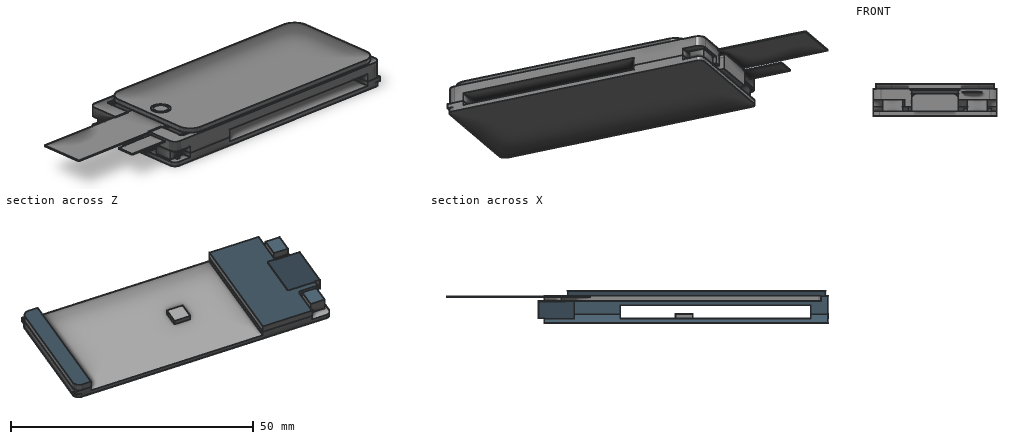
import cadquery as cq

BODY_WIDTH = 25.5
BODY_LENGTH = 58.7
OVERALL_LENGTH = 78.8
BACK_Y = OVERALL_LENGTH / 2
FRONT_Y = BACK_Y - BODY_LENGTH
LEFT_X = -BODY_WIDTH / 2
EPS = 0.8

BOARD_TOP = 0.95
PAD_TOP = 1.9
HOUSING_TOP = 5.6
GLASS_TOP = 6.6

BOARD_RADIUS = 1.25
COMPONENT_SIZE = 3.6
COMPONENT_BACK_OFFSET = 28.0
TAB_WIDTH = 0.7
TAB_DEPTH = 0.8
POST_WIDTH = 4.1
POST_DEPTH = 3.3
POST_SIDE_INSET = 2.0
POST_FRONT_INSET = 0.55
POST_X = BODY_WIDTH / 2 - POST_SIDE_INSET - POST_WIDTH / 2
PEG_SIZE = 0.7
PEG_HEIGHT = 0.55
PEG_SPACING = 5.0

HOUSING_RADIUS = 1.6
WINDOW_TOP = 3.6
BACK_WALL = 3.6
WINDOW_LENGTH = 39.3
WINDOW_FRONT_Y = BACK_Y - BACK_WALL - WINDOW_LENGTH
NOTCH_TOP = 3.4
NOTCH_DEPTH = 4.4
NOTCH_WIDTH = 6.5
NOTCH_RADIUS = 0.5
NOTCH_BACK_Y = FRONT_Y + NOTCH_DEPTH

RECESS_WIDTH = 22.5
RECESS_FRONT_WALL = 3.55
RECESS_RADIUS = 0.5
RECESS_MARGIN = (BODY_WIDTH - RECESS_WIDTH) / 2
RECESS_FRONT_Y = FRONT_Y + RECESS_FRONT_WALL
RECESS_LENGTH = BODY_LENGTH - RECESS_FRONT_WALL - RECESS_MARGIN

GLASS_MARGIN = 0.55
GLASS_WIDTH = BODY_WIDTH - 2 * GLASS_MARGIN
GLASS_LENGTH = 53.3
GLASS_RADIUS = 3.15
GLASS_FRONT_Y = BACK_Y - GLASS_MARGIN - GLASS_LENGTH
RING_FRONT_OFFSET = 3.4
RING_OUTER_RADIUS = 2.05
RING_INNER_RADIUS = 1.6
RING_DEPTH = 0.1

USB_WIDTH = 9.7
USB_DEPTH = 7.3
USB_OVERHANG = 1.2
USB_TOP = 4.6
USB_RADIUS = 0.95
USB_BACK_Y = FRONT_Y - USB_OVERHANG + USB_DEPTH

CABLE_THICKNESS = 0.2
CABLE_START_Y = GLASS_FRONT_Y + 4.7
DISPLAY_CABLE_WIDTH = 10.25
DISPLAY_CABLE_BOTTOM = 5.3
DISPLAY_CABLE_END_Y = -OVERALL_LENGTH / 2
TOUCH_CABLE_WIDTH = 4.1
TOUCH_CABLE_X = 7.65
TOUCH_CABLE_BOTTOM = 4.8
TOUCH_CABLE_END_Y = -28.5
RECESS_FLOOR = USB_TOP


def block(x_start, x_end, y_start, y_end, z_start, z_end):
    """Box given by its two limits along each axis."""
    box = cq.Workplane("XY").box(x_end - x_start, y_end - y_start, z_end - z_start, centered=False)
    return box.translate((x_start, y_start, z_start))


def centred_block(width, y_start, y_end, z_start, z_end, x_centre=0.0):
    """Box of the given width, centred on x_centre."""
    return block(x_centre - width / 2, x_centre + width / 2, y_start, y_end, z_start, z_end)


def make_usb_socket():
    socket = centred_block(USB_WIDTH, FRONT_Y - USB_OVERHANG, USB_BACK_Y, BOARD_TOP, USB_TOP)
    return socket.edges("|Y and >Z").fillet(USB_RADIUS)


def make_display_cable():
    top = DISPLAY_CABLE_BOTTOM + CABLE_THICKNESS
    return centred_block(DISPLAY_CABLE_WIDTH, DISPLAY_CABLE_END_Y, CABLE_START_Y, DISPLAY_CABLE_BOTTOM, top)


def make_touch_cable():
    top = TOUCH_CABLE_BOTTOM + CABLE_THICKNESS
    return centred_block(
        TOUCH_CABLE_WIDTH, TOUCH_CABLE_END_Y, CABLE_START_Y, TOUCH_CABLE_BOTTOM, top, TOUCH_CABLE_X
    )


def make_cover_glass():
    glass = centred_block(GLASS_WIDTH, GLASS_FRONT_Y, GLASS_FRONT_Y + GLASS_LENGTH, HOUSING_TOP, GLASS_TOP)
    glass = glass.edges("|Z").fillet(GLASS_RADIUS)
    groove = (
        cq.Workplane("XY", origin=(0, GLASS_FRONT_Y + RING_FRONT_OFFSET, GLASS_TOP - RING_DEPTH))
        .circle(RING_OUTER_RADIUS)
        .circle(RING_INNER_RADIUS)
        .extrude(RING_DEPTH)
    )
    return glass.cut(groove)


def make_board(usb_socket):
    board = centred_block(BODY_WIDTH, FRONT_Y, BACK_Y, 0, BOARD_TOP).edges("|Z").fillet(BOARD_RADIUS)
    back_pad = centred_block(BODY_WIDTH, BACK_Y - BACK_WALL, BACK_Y, BOARD_TOP, PAD_TOP)
    front_pad = centred_block(BODY_WIDTH, NOTCH_BACK_Y, WINDOW_FRONT_Y, BOARD_TOP, PAD_TOP)
    tab_left_x = -USB_WIDTH / 2 - TAB_WIDTH
    tab = block(tab_left_x, -USB_WIDTH / 2, NOTCH_BACK_Y - TAB_DEPTH, NOTCH_BACK_Y, BOARD_TOP, PAD_TOP)
    board = board.union(back_pad).union(front_pad.union(tab).cut(usb_socket))
    component_back_y = BACK_Y - COMPONENT_BACK_OFFSET
    component = centred_block(
        COMPONENT_SIZE, component_back_y - COMPONENT_SIZE, component_back_y, BOARD_TOP, PAD_TOP
    )
    board = board.union(component)
    post_front_y = FRONT_Y + POST_FRONT_INSET
    for side in (-1, 1):
        post = centred_block(
            POST_WIDTH, post_front_y, post_front_y + POST_DEPTH, BOARD_TOP, NOTCH_TOP, side * POST_X
        )
        board = board.union(post)
    peg_front_y = post_front_y + (POST_DEPTH - PEG_SIZE) / 2
    for side in (-1, 1):
        peg_x = POST_X + side * PEG_SPACING / 2
        peg = centred_block(
            PEG_SIZE, peg_front_y, peg_front_y + PEG_SIZE, BOARD_TOP, BOARD_TOP + PEG_HEIGHT, peg_x
        )
        board = board.union(peg)
    return board


def make_housing(usb_socket, cables):
    housing = centred_block(BODY_WIDTH, FRONT_Y, BACK_Y, PAD_TOP, HOUSING_TOP)
    housing = housing.edges("|Z").fillet(HOUSING_RADIUS)
    window = centred_block(
        BODY_WIDTH + 2 * EPS, WINDOW_FRONT_Y, BACK_Y - BACK_WALL, PAD_TOP - EPS, WINDOW_TOP
    )
    housing = housing.cut(window)
    recess = centred_block(
        RECESS_WIDTH, RECESS_FRONT_Y, RECESS_FRONT_Y + RECESS_LENGTH, RECESS_FLOOR, HOUSING_TOP + EPS
    )
    housing = housing.cut(recess.edges("|Z").fillet(RECESS_RADIUS))
    gap = centred_block(USB_WIDTH, FRONT_Y - EPS, RECESS_FRONT_Y + EPS, PAD_TOP - EPS, HOUSING_TOP + EPS)
    housing = housing.cut(gap)
    left_notch = block(
        LEFT_X - EPS, LEFT_X + NOTCH_WIDTH, FRONT_Y - EPS, NOTCH_BACK_Y, PAD_TOP - EPS, NOTCH_TOP
    )
    left_notch = left_notch.edges("|Z and >X and >Y").fillet(NOTCH_RADIUS)
    right_notch = block(0, -LEFT_X + EPS, FRONT_Y - EPS, NOTCH_BACK_Y, PAD_TOP - EPS, NOTCH_TOP)
    housing = housing.cut(left_notch).cut(right_notch)
    for part in (usb_socket, *cables):
        housing = housing.cut(part)
    return housing


usb_socket = make_usb_socket()
display_cable = make_display_cable()
touch_cable = make_touch_cable()
cover_glass = make_cover_glass()
board = make_board(usb_socket)
housing = make_housing(usb_socket, (display_cable, touch_cable))

result = cq.Compound.makeCompound(
    [
        board.val(),
        housing.val(),
        usb_socket.val(),
        display_cable.val(),
        touch_cable.val(),
        cover_glass.val(),
    ]
)